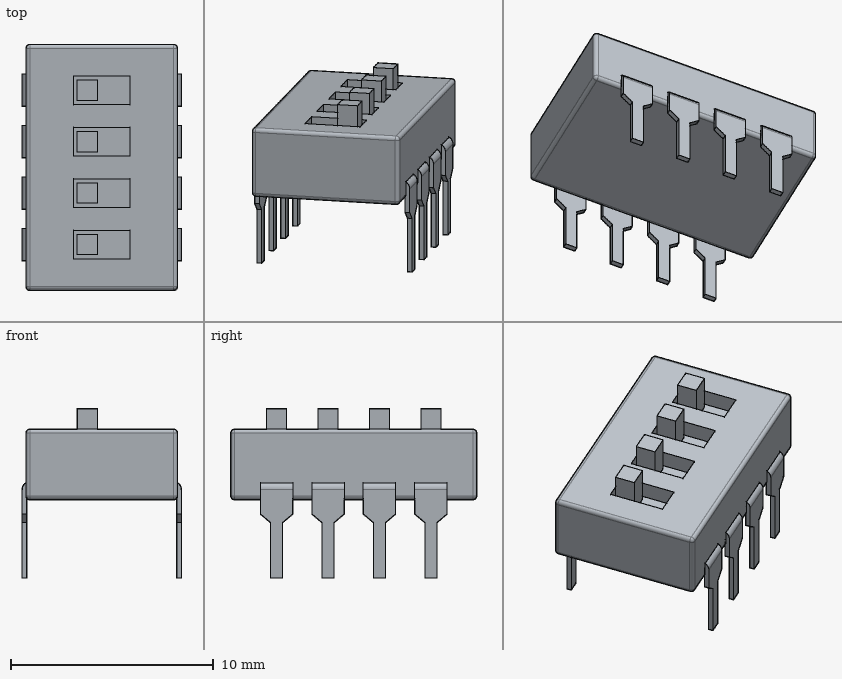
import cadquery as cq


switch_count = 4
pitch = 2.54
row_positions = [(i - (switch_count - 1) / 2) * pitch for i in range(switch_count)]
overall_width = 7.87

housing_width = 7.48
housing_length = 12.14
housing_height = 3.48
housing_fillet = 0.2

window_length = 2.79
window_width = 1.41
window_depth = 0.86

bar_thickness = 0.49
bar_length = (switch_count - 1) * pitch + window_width
bar_top = housing_height - window_depth
knob_length = 1.01
knob_width = 1.0
knob_rise = 1.01
knob_end_gap = 0.18
knob_x = -window_length / 2 + knob_end_gap + knob_length / 2

pin_thickness = 0.24
pin_drop = 3.86
pin_outer_x = overall_width / 2
bend_start = 0.5
bend_radius = 0.4
bend_inner_radius = bend_radius - pin_thickness
pin_top = bend_start + bend_radius
embedded_length = 0.73
pin_end_x = housing_width / 2 - embedded_length
blade_width = 1.6
leg_width = 0.61
shoulder_drop = 0.7
shoulder_height = 0.42


def make_pin_blank():
    """Bent strip of the full blade width, for the +X row, centred on Y = 0."""
    bend_x = pin_outer_x - bend_radius
    return (
        cq.Workplane("XZ")
        .moveTo(pin_outer_x, -pin_drop)
        .lineTo(pin_outer_x, bend_start)
        .radiusArc((bend_x, pin_top), -bend_radius)
        .lineTo(pin_end_x, pin_top)
        .lineTo(pin_end_x, pin_top - pin_thickness)
        .lineTo(bend_x, pin_top - pin_thickness)
        .radiusArc((pin_outer_x - pin_thickness, bend_start), bend_inner_radius)
        .lineTo(pin_outer_x - pin_thickness, -pin_drop)
        .close()
        .extrude(blade_width / 2, both=True)
    )


def make_pin():
    """Pin for the +X row: the blank trimmed to a wide blade that tapers to a narrow leg."""
    leg_top = -shoulder_drop - shoulder_height
    outline = (
        cq.Workplane("YZ")
        .moveTo(-leg_width / 2, -pin_drop)
        .lineTo(leg_width / 2, -pin_drop)
        .lineTo(leg_width / 2, leg_top)
        .lineTo(blade_width / 2, -shoulder_drop)
        .lineTo(blade_width / 2, pin_top)
        .lineTo(-blade_width / 2, pin_top)
        .lineTo(-blade_width / 2, -shoulder_drop)
        .lineTo(-leg_width / 2, leg_top)
        .close()
        .extrude(pin_outer_x)
    )
    return make_pin_blank().intersect(outline)


def make_pins():
    """Both rows of pins, each pin a separate solid."""
    right_pin = make_pin()
    left_pin = right_pin.rotate((0, 0, 0), (0, 0, 1), 180)
    return [
        pin.translate((0, y, 0)).solids().val()
        for pin in (left_pin, right_pin)
        for y in row_positions
    ]


def make_bar():
    """Bar whose top face is the floor of every window."""
    return (
        cq.Workplane("XY")
        .workplane(offset=bar_top - bar_thickness)
        .rect(window_length, bar_length)
        .extrude(bar_thickness)
    )


def make_actuator():
    """Bar with one knob standing up through each window."""
    knobs = (
        cq.Workplane("XY")
        .workplane(offset=bar_top)
        .pushPoints([(knob_x, y) for y in row_positions])
        .rect(knob_length, knob_width)
        .extrude(window_depth + knob_rise)
    )
    return make_bar().union(knobs)


def make_housing(pins):
    """Rounded block with the windows, the cavity for the bar and the recesses for the pins."""
    block = (
        cq.Workplane("XY")
        .box(housing_width, housing_length, housing_height, centered=(True, True, False))
        .edges()
        .fillet(housing_fillet)
    )
    windows = (
        cq.Workplane("XY")
        .workplane(offset=bar_top)
        .pushPoints([(0, y) for y in row_positions])
        .rect(window_length, window_width)
        .extrude(window_depth)
    )
    block = block.cut(windows).cut(make_bar())
    for pin in pins:
        block = block.cut(cq.Workplane(pin))
    return block


pins = make_pins()
actuator = make_actuator()
housing = make_housing(pins)

result = cq.Compound.makeCompound([housing.solids().val(), actuator.solids().val(), *pins])